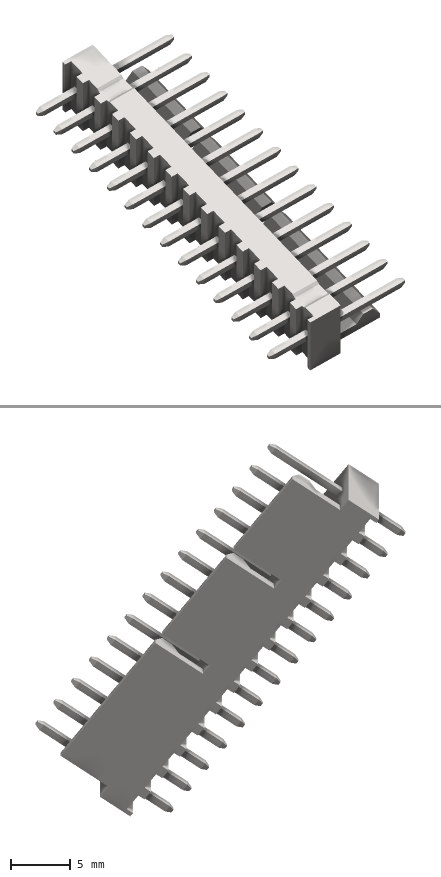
import cadquery as cq


pin_count = 14
pin_width = 0.65
pin_tip_width = 0.32
pin_tip_length = 0.53
pin_rear_reach = 7.5
pin_front_reach = 3.55

body_length = 35.4
body_depth = 3.2
body_height = 6.35

end_pin_inset = 1.2
pin_pitch = (body_length - 2 * end_pin_inset) / (pin_count - 1)
pin_height = 3.15

groove_width = 1.63
groove_depth = 0.65

notch_top_width = 1.85
notch_depth = 0.2
notch_slope_run = 0.3
notch_gaps = (2, 13)

lock_reach = 5.0
lock_thickness = 0.85
ridge_height = 1.7
lock_edge_height = 0.55
ridge_rear_inset = 0.75
ridge_front_inset = 1.75
ridge_foot_inset = 2.48
lock_slot_width = 1.0
lock_slot_gaps = (4, 8)


def pin_x(position):
    """X of a pin counted from 0; a half value lies midway between two pins."""
    return (position - (pin_count - 1) / 2) * pin_pitch


def gap_x(pins_before):
    """X midway between two pins, after the given number of pins."""
    return pin_x(pins_before - 0.5)


def box_between(x_min, x_max, y_min, y_max, z_min, z_max):
    size = (x_max - x_min, y_max - y_min, z_max - z_min)
    return cq.Workplane("XY").box(*size, centered=False).translate((x_min, y_min, z_min))


def make_body():
    half_length = body_length / 2
    body = box_between(-half_length, half_length, -body_depth, 0, 0, body_height)
    groove_floor_y = groove_depth - body_depth
    for index in range(pin_count):
        left = pin_x(index) - groove_width / 2
        groove = box_between(left, left + groove_width, -body_depth, groove_floor_y, 0, body_height)
        body = body.cut(groove)
    for pins_before in notch_gaps:
        body = body.cut(make_notch(gap_x(pins_before)))
    return body


def make_notch(x):
    """Trapezoidal prism that cuts one notch through the full depth of the body."""
    half_top = notch_top_width / 2
    half_floor = half_top - notch_slope_run
    floor_z = body_height - notch_depth
    outline = [
        (x - half_top, body_height),
        (x - half_floor, floor_z),
        (x + half_floor, floor_z),
        (x + half_top, body_height),
    ]
    return cq.Workplane("XZ").polyline(outline).close().extrude(body_depth)


def make_lock_wall():
    outline = [
        (0, 0),
        (lock_reach, 0),
        (lock_reach, lock_edge_height),
        (lock_reach - ridge_rear_inset, ridge_height),
        (lock_reach - ridge_front_inset, ridge_height),
        (lock_reach - ridge_foot_inset, lock_thickness),
        (0, lock_thickness),
    ]
    first_x = pin_x(0)
    last_x = pin_x(pin_count - 1)
    wall = cq.Workplane("YZ", origin=(first_x, 0, 0)).polyline(outline).close().extrude(last_x - first_x)
    for pins_before in lock_slot_gaps:
        left = gap_x(pins_before) - lock_slot_width / 2
        wall = wall.cut(box_between(left, left + lock_slot_width, 0, lock_reach, 0, ridge_height))
    return wall


def make_pin_tip(base_y, end_y):
    """Square pin end that narrows from base_y to end_y."""
    return (
        cq.Workplane("XZ", origin=(0, base_y, 0))
        .rect(pin_width, pin_width)
        .workplane(offset=base_y - end_y)
        .rect(pin_tip_width, pin_tip_width)
        .loft()
    )


def make_pin():
    front_end = -body_depth - pin_front_reach
    shank_front = front_end + pin_tip_length
    shank_rear = pin_rear_reach - pin_tip_length
    half_width = pin_width / 2
    shank = box_between(-half_width, half_width, shank_front, shank_rear, -half_width, half_width)
    front_tip = make_pin_tip(shank_front, front_end)
    rear_tip = make_pin_tip(shank_rear, pin_rear_reach)
    return shank.union(front_tip).union(rear_tip)


result = make_body().union(make_lock_wall())
pin = make_pin()
for index in range(pin_count):
    result = result.union(pin.translate((pin_x(index), 0, pin_height)))